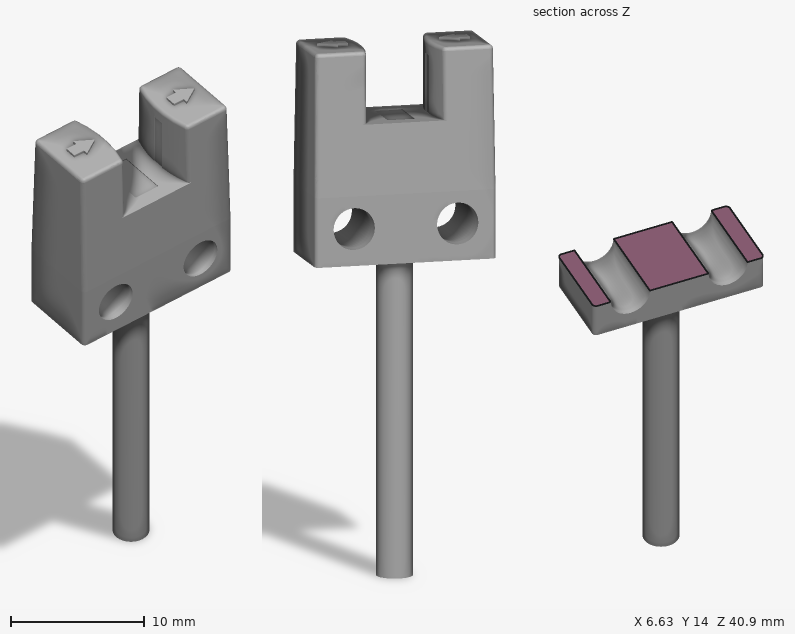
import cadquery as cq

total_height = 40.9
body_width = 6.63
body_length = 14.03
arrow_height = 0.2
body_height = 16.25
body_bottom = total_height - arrow_height - body_height
body_top = body_bottom + body_height

base_height = 5.3
seam_z = body_bottom + base_height
top_width = 5.97
top_length = 13.8
edge_radius = 0.33
rim_radius = 0.3

slot_floor_z = body_bottom + 10.7
slot_half_gap = 2.55
bulge_radius = 9.4
slot_cutter_length = 9.8

window_depth = 0.1
floor_window_width = 3.93
floor_window_length = 2.13
leg_window_width = 1.0
leg_window_height = 4.45

hole_diameter = 3.2
hole_spacing = 8.0
hole_z = body_bottom + 2.82
cable_diameter = 2.8

arrow_length = 2.3
arrow_head_length = 1.4
arrow_head_width = 1.7
arrow_shaft_width = 0.95
arrow_tip_positions = (6.0, -3.45)


def make_housing():
    """Base block with the drafted housing above it, outer upright edges rounded."""
    base = (
        cq.Workplane("XY", origin=(0, 0, body_bottom))
        .rect(body_width, body_length)
        .extrude(base_height)
        .edges("|Z")
        .fillet(edge_radius)
    )
    upper = (
        cq.Workplane("XY", origin=(0, 0, seam_z))
        .rect(body_width, body_length)
        .workplane(offset=body_top - seam_z)
        .rect(top_width, top_length)
        .loft(ruled=True)
        .edges("not(|X or |Y)")
        .fillet(edge_radius)
    )
    return base, upper


def make_slot():
    """Slot volume, open through X, leaving a convex cylindrical face on each leg."""
    height = body_top - slot_floor_z
    slot = cq.Workplane("XY", origin=(0, 0, slot_floor_z)).box(
        2 * body_width, slot_cutter_length, height, centered=(True, True, False)
    )
    bulge_center = slot_half_gap + bulge_radius
    bulges = (
        cq.Workplane("XY", origin=(0, 0, slot_floor_z))
        .pushPoints([(0, bulge_center), (0, -bulge_center)])
        .circle(bulge_radius)
        .extrude(height)
    )
    return slot.cut(bulges)


def make_windows():
    """Shallow recesses in the slot floor and in both inner leg faces."""
    windows = cq.Workplane("XY", origin=(0, 0, slot_floor_z - window_depth)).box(
        floor_window_width, floor_window_length, window_depth, centered=(True, True, False)
    )
    across_legs = cq.Workplane("XY", origin=(0, 0, slot_floor_z)).box(
        leg_window_width, 2 * (slot_half_gap + window_depth), leg_window_height,
        centered=(True, True, False),
    )
    return windows.union(across_legs)


def make_arrow(tip_y):
    """Raised arrow whose tip lies at the given Y."""
    neck_y = tip_y - arrow_head_length
    tail_y = tip_y - arrow_length
    half_head = arrow_head_width / 2
    half_shaft = arrow_shaft_width / 2
    outline = [
        (0, tip_y),
        (half_head, neck_y),
        (half_shaft, neck_y),
        (half_shaft, tail_y),
        (-half_shaft, tail_y),
        (-half_shaft, neck_y),
        (-half_head, neck_y),
    ]
    return cq.Workplane("XY", origin=(0, 0, body_top)).polyline(outline).close().extrude(arrow_height)


def make_holes():
    """Two mounting holes through X."""
    return (
        cq.Workplane("YZ", origin=(-body_width / 2, 0, hole_z))
        .pushPoints([(-hole_spacing / 2, 0), (hole_spacing / 2, 0)])
        .circle(hole_diameter / 2)
        .extrude(body_width)
    )


base, upper = make_housing()
upper = upper.cut(make_slot())
slot_corners = cq.selectors.BoxSelector(
    (-body_width, -body_length / 4, slot_floor_z + edge_radius),
    (body_width, body_length / 4, body_top - edge_radius),
)
upper = upper.edges(slot_corners).fillet(edge_radius)
upper = upper.faces(">Z").edges().fillet(rim_radius)

cable = cq.Workplane("XY").circle(cable_diameter / 2).extrude(body_bottom)

result = base.union(upper).cut(make_holes()).cut(make_windows()).union(cable)
for tip_y in arrow_tip_positions:
    result = result.union(make_arrow(tip_y))